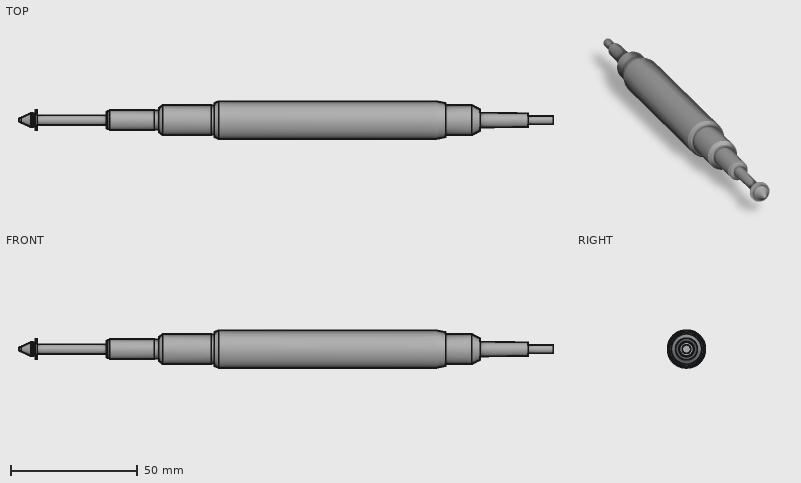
import cadquery as cq

TOTAL_LENGTH = 211.5

BALL_RADIUS = 1.0
CONE_END = 4.2
CONE_DIAMETER = 5.0
HUB_START = 4.8
HUB_END = 5.4
HUB_DIAMETER = 5.8
HUB_NECK_START = 6.0
HUB_NECK_DIAMETER = 5.4
FLANGE_START = 6.6
FLANGE_END = 7.3
FLANGE_DIAMETER = 8.0
ROD_DIAMETER = 4.0

SLEEVE_START = 34.7
NOSE_CHAMFER_END = 35.3
NOSE_END = 36.0
NOSE_TIP_DIAMETER = 6.6
NOSE_DIAMETER = 7.2
SLEEVE_DIAMETER = 8.0
NECK_DEPTH = 0.1
SLEEVE_NECK_START = 53.6
SLEEVE_NECK_END = 55.5

SHOULDER_DIAMETER = 9.6
FRONT_START = 57.0
SECTION_DIAMETER = 12.0
FRONT_NECK_START = 76.1
FRONT_NECK_END = 77.4

BARREL_START = 79.2
BARREL_END = 165.2
BARREL_DIAMETER = 15.0
BARREL_END_DIAMETER = 13.5
REAR_START = 168.9
REAR_TAPER_START = 179.2
REAR_END = 182.5
REAR_END_DIAMETER = 8.6

RELIEF_START_DIAMETER = 6.0
RELIEF_END = 201.5
RELIEF_END_DIAMETER = 5.5
CABLE_DIAMETER = 3.4


def closed_profile(outline, stations):
    """Continue an outline through (x, diameter) stations, drop to the axis and turn it about X."""
    for x, diameter in stations:
        outline = outline.lineTo(x, diameter / 2)
    last_x = stations[-1][0]
    return outline.lineTo(last_x, 0).close().revolve(360, (0, 0, 0), (1, 0, 0))


def turned(stations):
    """Solid turned about X with a flat front face at the first (x, diameter) station."""
    first_x = stations[0][0]
    return closed_profile(cq.Workplane("XY").moveTo(first_x, 0), stations)


def ball_nosed(radius, stations):
    """Solid turned about X that begins with a half ball at X = 0."""
    arc_offset = radius * 0.5 ** 0.5
    nose = cq.Workplane("XY").threePointArc((radius - arc_offset, arc_offset), (radius, radius))
    return closed_profile(nose, stations)


plunger = ball_nosed(BALL_RADIUS, [
    (CONE_END, CONE_DIAMETER),
    (HUB_START, HUB_DIAMETER),
    (HUB_END, HUB_DIAMETER),
    (HUB_NECK_START, HUB_NECK_DIAMETER),
    (FLANGE_START, HUB_NECK_DIAMETER),
    (FLANGE_START, FLANGE_DIAMETER),
    (FLANGE_END, FLANGE_DIAMETER),
    (FLANGE_END, ROD_DIAMETER),
    (SLEEVE_START, ROD_DIAMETER),
])

sleeve_neck_diameter = SLEEVE_DIAMETER - 2 * NECK_DEPTH
front_neck_diameter = SECTION_DIAMETER - 2 * NECK_DEPTH
housing = turned([
    (SLEEVE_START, NOSE_TIP_DIAMETER),
    (NOSE_CHAMFER_END, NOSE_DIAMETER),
    (NOSE_END, NOSE_DIAMETER),
    (NOSE_END, SLEEVE_DIAMETER),
    (SLEEVE_NECK_START, SLEEVE_DIAMETER),
    (SLEEVE_NECK_START, sleeve_neck_diameter),
    (SLEEVE_NECK_END, sleeve_neck_diameter),
    (SLEEVE_NECK_END, SHOULDER_DIAMETER),
    (FRONT_START, SECTION_DIAMETER),
    (FRONT_NECK_START, SECTION_DIAMETER),
    (FRONT_NECK_START, front_neck_diameter),
    (FRONT_NECK_END, front_neck_diameter),
    (FRONT_NECK_END, BARREL_END_DIAMETER),
    (BARREL_START, BARREL_DIAMETER),
    (BARREL_END, BARREL_DIAMETER),
    (REAR_START, BARREL_END_DIAMETER),
    (REAR_START, SECTION_DIAMETER),
    (REAR_TAPER_START, SECTION_DIAMETER),
    (REAR_END, REAR_END_DIAMETER),
])

cable = turned([
    (REAR_END, RELIEF_START_DIAMETER),
    (RELIEF_END, RELIEF_END_DIAMETER),
    (RELIEF_END, CABLE_DIAMETER),
    (TOTAL_LENGTH, CABLE_DIAMETER),
])

result = cq.Compound.makeCompound([plunger.val(), housing.val(), cable.val()])